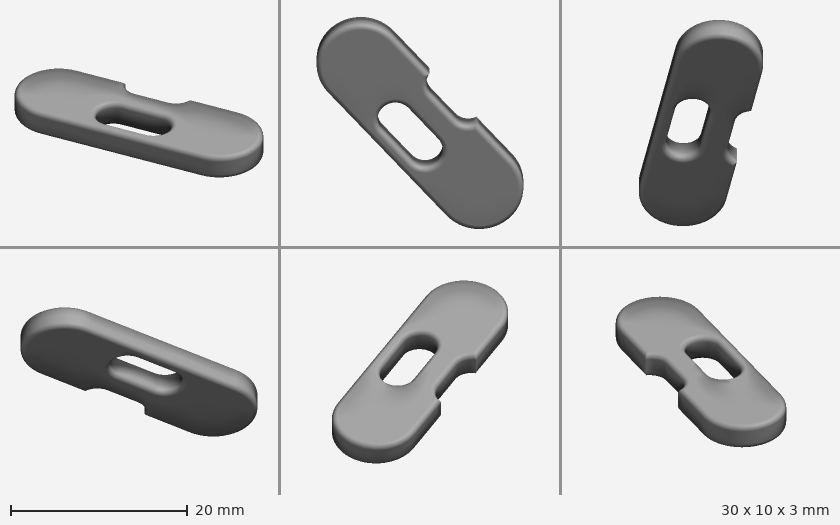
import cadquery as cq

length = 30.0
width = length / 3
thickness = length / 10
edge_radius = 0.6

slot_width = 0.4 * width
slot_length = 9.0
slot_offset = -1.5

notch_straight = 4.08
notch_width = slot_width
notch_length = notch_straight + notch_width
notch_depth = 1.5
notch_centre_y = width / 2 - notch_depth + notch_width / 2


def rounded_bar(bar_length, bar_width, centre_y=0.0):
    """Full-thickness bar with semicircular ends, lying along X."""
    return (
        cq.Workplane("XY")
        .center(0, centre_y)
        .slot2D(bar_length, bar_width)
        .extrude(thickness / 2, both=True)
    )


plate = rounded_bar(length, width)
slot = rounded_bar(slot_length, slot_width, slot_offset)
notch = rounded_bar(notch_length, notch_width, notch_centre_y)

result = plate.cut(slot).cut(notch).faces("|Z").edges().fillet(edge_radius)